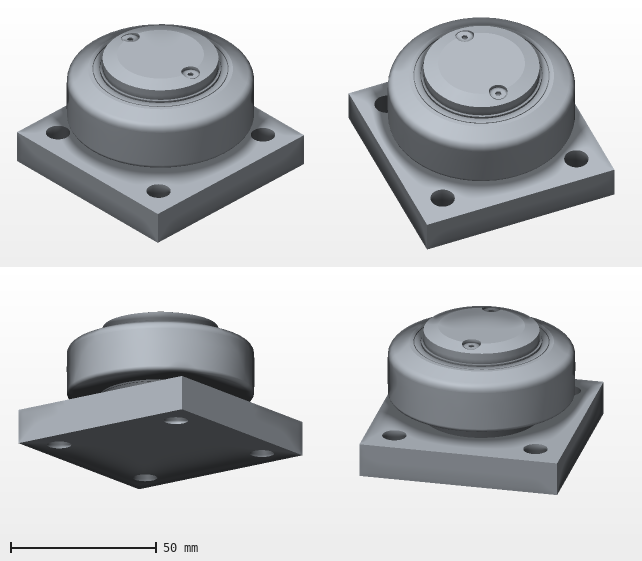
import cadquery as cq
import math

plate_side = 70.0
plate_height = 12.0
bolt_hole_diameter = 8.4
bolt_hole_spacing = 50.0

neck_diameter = 42.1
neck_groove_diameter = 41.5
neck_bottom = 12.4
neck_top = 17.85
neck_lip_bottom = 18.4

roller_diameter = 64.75
roller_bottom = 19.0
roller_top = 39.0
roller_top_diameter = 50.0
roller_cone_angle = 21.0
roller_top_rounding = 3.0
roller_bottom_rounding = 1.5
roller_crown = 0.1

collar_diameter = 41.5
collar_top = 39.55
cap_diameter = 40.0
cap_edge_height = 43.5
cap_top = 45.0
cap_flat_diameter = 29.95

ring_groove_depth = 0.5
inner_groove_diameters = (collar_diameter, 42.1)
outer_groove_diameters = (46.35, 47.0)

screw_spacing = 29.95
screw_pocket_diameter = 6.5
screw_pocket_floor = 43.7
screw_head_diameter = 5.3
screw_head_top = 43.95
screw_socket_across_corners = 2.3
screw_socket_depth = 1.0


def cylinder(diameter, bottom, top):
    """Upright cylinder on the part's axis."""
    return cq.Workplane("XY").workplane(offset=bottom).circle(diameter / 2).extrude(top - bottom)


def make_plate():
    plate = cq.Workplane("XY").rect(plate_side, plate_side).extrude(plate_height)
    holes = (
        cq.Workplane("XY")
        .rect(bolt_hole_spacing, bolt_hole_spacing, forConstruction=True)
        .vertices()
        .circle(bolt_hole_diameter / 2)
        .extrude(plate_height)
    )
    return plate.cut(holes)


def make_neck():
    core = cylinder(neck_groove_diameter, plate_height, roller_bottom)
    sleeve = cylinder(neck_diameter, neck_bottom, neck_top)
    lip = cylinder(neck_diameter, neck_lip_bottom, roller_bottom)
    return core.union(sleeve).union(lip)


def make_roller():
    """Revolved roller: crowned side, rounded edges and a conical shoulder."""
    side_radius = roller_diameter / 2 - roller_crown
    top_radius = roller_top_diameter / 2
    slope = math.radians(roller_cone_angle)

    upper_center_radius = side_radius - roller_top_rounding
    cone_end_radius = upper_center_radius + roller_top_rounding * math.sin(slope)
    cone_end_height = roller_top - (cone_end_radius - top_radius) * math.tan(slope)
    side_top = cone_end_height - roller_top_rounding * math.cos(slope)
    middle_angle = (math.pi / 2 - slope) / 2
    upper_middle = (
        upper_center_radius + roller_top_rounding * math.cos(middle_angle),
        side_top + roller_top_rounding * math.sin(middle_angle),
    )

    side_bottom = roller_bottom + roller_bottom_rounding
    lower_center_radius = side_radius - roller_bottom_rounding
    lower_middle = (
        lower_center_radius + roller_bottom_rounding * math.sqrt(0.5),
        side_bottom - roller_bottom_rounding * math.sqrt(0.5),
    )
    crown_middle = (roller_diameter / 2, (side_bottom + side_top) / 2)

    return (
        cq.Workplane("XZ")
        .moveTo(0, roller_bottom)
        .lineTo(lower_center_radius, roller_bottom)
        .threePointArc(lower_middle, (side_radius, side_bottom))
        .threePointArc(crown_middle, (side_radius, side_top))
        .threePointArc(upper_middle, (cone_end_radius, cone_end_height))
        .lineTo(top_radius, roller_top)
        .lineTo(0, roller_top)
        .close()
        .revolve(360, (0, 0, 0), (0, 1, 0))
    )


def make_ring_groove(diameters):
    inner_diameter, outer_diameter = diameters
    groove_floor = roller_top - ring_groove_depth
    outer = cylinder(outer_diameter, groove_floor, roller_top)
    return outer.cut(cylinder(inner_diameter, groove_floor, roller_top))


def make_cap():
    """Collar and cap with a conical rim around its flat top."""
    return (
        cq.Workplane("XZ")
        .moveTo(0, roller_top)
        .lineTo(collar_diameter / 2, roller_top)
        .lineTo(collar_diameter / 2, collar_top)
        .lineTo(cap_diameter / 2, collar_top)
        .lineTo(cap_diameter / 2, cap_edge_height)
        .lineTo(cap_flat_diameter / 2, cap_top)
        .lineTo(0, cap_top)
        .close()
        .revolve(360, (0, 0, 0), (0, 1, 0))
    )


def make_screw_head():
    return cylinder(screw_head_diameter, screw_pocket_floor, screw_head_top)


def make_screw_socket():
    return (
        cq.Workplane("XY")
        .workplane(offset=screw_head_top - screw_socket_depth)
        .polygon(6, screw_socket_across_corners)
        .extrude(screw_socket_depth)
    )


result = make_plate().union(make_neck()).union(make_roller()).union(make_cap())

for groove_diameters in (inner_groove_diameters, outer_groove_diameters):
    result = result.cut(make_ring_groove(groove_diameters))

for side in (-1, 1):
    screw_position = (side * screw_spacing / 2, 0, 0)
    pocket = cylinder(screw_pocket_diameter, screw_pocket_floor, cap_top)
    result = result.cut(pocket.translate(screw_position))
    result = result.union(make_screw_head().translate(screw_position))
    result = result.cut(make_screw_socket().translate(screw_position))